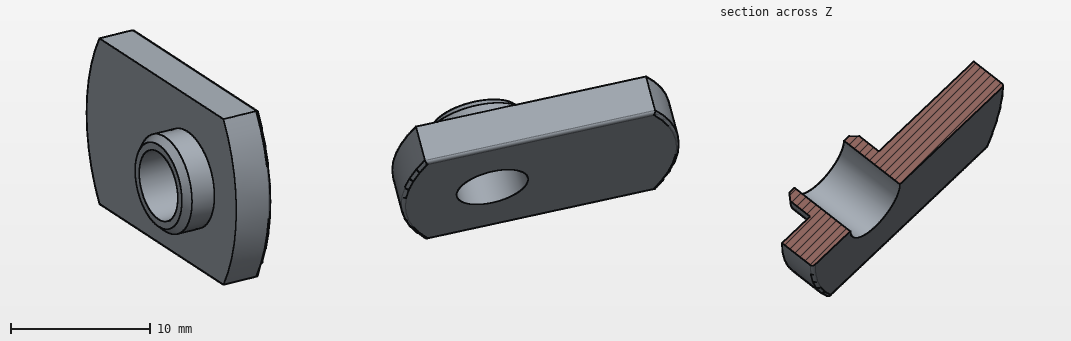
import cadquery as cq

plate_length = 20.55
plate_height = 13.0
plate_thickness = 3.0
flat_length = 17.02
back_edge_radius = 0.25

total_depth = 5.45
boss_height = total_depth - plate_thickness
boss_diameter = 7.4
boss_offset = 3.58
bore_diameter = 5.28
chamfer_radial = 0.5
chamfer_axial = 0.55


def make_plate():
    """Plate with its front face on Y = 0 and its rounded back edge at +Y."""
    half_length = plate_length / 2
    half_height = plate_height / 2
    half_flat = flat_length / 2
    plate = (
        cq.Workplane("XZ")
        .moveTo(-half_flat, half_height)
        .lineTo(half_flat, half_height)
        .threePointArc((half_length, 0), (half_flat, -half_height))
        .lineTo(-half_flat, -half_height)
        .threePointArc((-half_length, 0), (-half_flat, half_height))
        .close()
        .extrude(-plate_thickness)
    )
    return plate.faces(">Y").edges().fillet(back_edge_radius)


def make_boss():
    """Chamfered boss, revolved about its own axis along Y."""
    radius = boss_diameter / 2
    return (
        cq.Workplane("XY")
        .lineTo(radius, 0)
        .lineTo(radius, -boss_height + chamfer_axial)
        .lineTo(radius - chamfer_radial, -boss_height)
        .lineTo(0, -boss_height)
        .close()
        .revolve(360, (0, 0, 0), (0, 1, 0))
        .translate((boss_offset, 0, 0))
    )


def make_bore():
    """Through bore, running from the boss tip to the back of the plate."""
    return (
        cq.Workplane("XZ", origin=(boss_offset, -boss_height, 0))
        .circle(bore_diameter / 2)
        .extrude(-total_depth)
    )


result = make_plate().union(make_boss()).cut(make_bore())